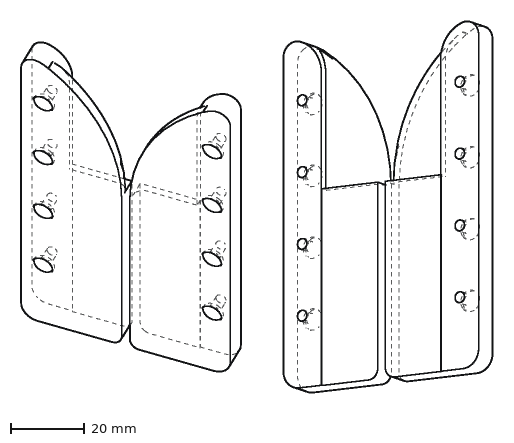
import cadquery as cq
import math

plate_length = 96.7
plate_width = 29.8
overall_width = 62.0
front_y = 0.0

rail_thickness = 7.5
foot_thickness = 7.25
lip_thickness = 5.1
lip_round_radius = 3.0

rail_width = 12.1
tip_radius = 4.1
tip_end_x = 5.4

sweep_radius = 48.3
sweep_start_z = 54.8
lip_start_x = 8.1

outer_corner_radius = 5.0
inner_corner_radius = 2.9

hole_count = 4
hole_pitch = 20.0
hole_inset = 6.0
hole_radius = 3.0 / 2
seat_radius = 5.0 / 2
bore_radius = 6.0 / 2
mouth_radius = 8.0 / 2
mouth_round = mouth_radius - bore_radius
bore_depth = 2.0
seat_round = seat_radius - hole_radius


def extrude_back(outline, thickness):
    """Extrude an XZ outline from the front face toward +Y."""
    return outline.close().extrude(-thickness)


def xz_plane():
    return cq.Workplane("XZ", origin=(0, front_y, 0))


def make_rail():
    """Full-thickness strip whose rounded tip blends two tangent arcs."""
    tip_center_z = plate_length - tip_radius
    tip_angle = math.acos((tip_end_x - tip_radius) / tip_radius)
    shoulder_radius = (rail_width - tip_end_x) / (1 - math.cos(tip_angle))
    shoulder_x = rail_width - shoulder_radius
    tip_end_z = tip_center_z + tip_radius * math.sin(tip_angle)
    shoulder_z = tip_end_z - shoulder_radius * math.sin(tip_angle)
    half_angle = tip_angle / 2
    shoulder_middle = (
        shoulder_x + shoulder_radius * math.cos(half_angle),
        shoulder_z + shoulder_radius * math.sin(half_angle),
    )
    outline = (
        xz_plane()
        .moveTo(0, 0)
        .lineTo(0, tip_center_z)
        .threePointArc((tip_radius, plate_length), (tip_end_x, tip_end_z))
        .threePointArc(shoulder_middle, (rail_width, shoulder_z))
        .lineTo(rail_width, 0)
    )
    return extrude_back(outline, rail_thickness)


def make_lip():
    """Thinner web with a swept inner edge, rounded over at its back."""
    sweep_center_x = plate_width - sweep_radius
    end_angle = math.acos((lip_start_x - sweep_center_x) / sweep_radius)

    def sweep_point(angle):
        return (
            sweep_center_x + sweep_radius * math.cos(angle),
            sweep_start_z + sweep_radius * math.sin(angle),
        )

    outline = (
        xz_plane()
        .moveTo(lip_start_x, 0)
        .lineTo(plate_width, 0)
        .lineTo(plate_width, sweep_start_z)
        .threePointArc(sweep_point(end_angle / 2), sweep_point(end_angle))
    )
    lip = extrude_back(outline, lip_thickness)
    inner_edge = cq.selectors.NearestToPointSelector(
        (plate_width, front_y + lip_thickness, sweep_start_z / 2)
    )
    return lip.faces(">Y").edges(inner_edge).fillet(lip_round_radius)


def make_foot():
    """Thick lower block, ending where the swept edge begins."""
    outline = xz_plane().rect(plate_width, sweep_start_z, centered=False)
    return outline.extrude(-foot_thickness)


def make_corner_envelope():
    """Bounding block with rounded bottom corners, used to trim the plate."""
    block = cq.Workplane("XY").box(plate_width, rail_thickness, plate_length, centered=False)
    block = block.edges("|Y and <X").edges("<Z").fillet(outer_corner_radius)
    return block.edges("|Y and >X").edges("<Z").fillet(inner_corner_radius)


def make_hole_cutter(z):
    """Stepped screw hole: rounded mouth, bore, rounded seat, through hole."""
    bore_floor_y = front_y + bore_depth
    back_y = front_y + rail_thickness
    middle = 1 - math.sqrt(0.5)
    mouth_middle = (bore_radius + middle * mouth_round, front_y + middle * mouth_round)
    seat_middle = (hole_radius + middle * seat_round, bore_floor_y + middle * seat_round)
    return (
        cq.Workplane("XY")
        .moveTo(0, front_y)
        .lineTo(mouth_radius, front_y)
        .threePointArc(mouth_middle, (bore_radius, front_y + mouth_round))
        .lineTo(bore_radius, bore_floor_y)
        .lineTo(seat_radius, bore_floor_y)
        .threePointArc(seat_middle, (hole_radius, bore_floor_y + seat_round))
        .lineTo(hole_radius, back_y)
        .lineTo(0, back_y)
        .close()
        .revolve(360, (0, 0, 0), (0, 1, 0))
        .translate((hole_inset, 0, z))
    )


def make_left_plate():
    plate = make_rail().union(make_lip()).union(make_foot())
    plate = plate.intersect(make_corner_envelope())
    for index in range(hole_count):
        plate = plate.cut(make_hole_cutter((index + 1) * hole_pitch))
    return plate


left_plate = make_left_plate().translate((-overall_width / 2, 0, 0))
right_plate = left_plate.mirror("YZ")

result = cq.Compound.makeCompound([left_plate.val(), right_plate.val()])